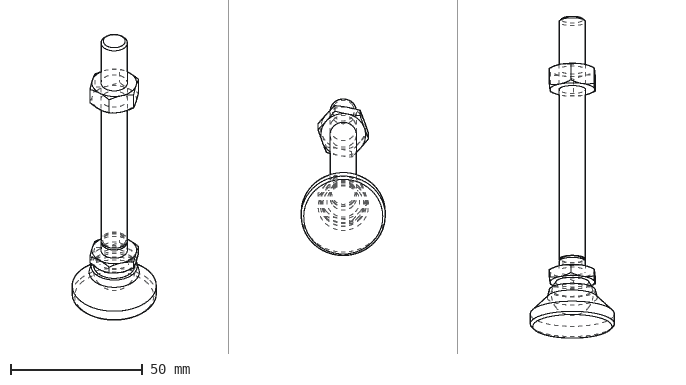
import cadquery as cq
import math

TOTAL_HEIGHT = 122.0
ROD_RADIUS = 5.0
ROD_TIP_CHAMFER = 0.9
HEX_ACROSS_FLATS = 17.0
HEX_CHAMFER_ANGLE = 30.0

FOOT_RADIUS = 16.0
FOOT_BOTTOM_CHAMFER = 1.0
FOOT_RIM_TOP = 5.0
COLLAR_BOTTOM = 11.5
COLLAR_BOTTOM_RADIUS = 9.5
COLLAR_TOP = 14.4
COLLAR_TOP_RADIUS = 8.8

BALL_RADIUS = 7.9
BALL_CENTER = 12.7
STUD_HEX_BOTTOM = 17.6
STUD_HEX_TOP = 22.0
GROOVE_BOTTOM = 25.9
GROOVE_HEIGHT = 0.9
GROOVE_DEPTH = 0.6
GROOVE_TOP = GROOVE_BOTTOM + GROOVE_HEIGHT

NUT_BOTTOM = 94.2
NUT_HEIGHT = 7.8


def turned(points):
    """Revolve a closed (radius, height) outline about the Z axis."""
    return cq.Workplane("XZ").polyline(points).close().revolve(360, (0, 0), (0, 1))


def ball():
    return cq.Workplane("XY").sphere(BALL_RADIUS).translate((0, 0, BALL_CENTER))


def hexagon(bottom, height):
    """Hex prism with corners on the Y axis and conically chamfered corners at both ends."""
    flat_radius = HEX_ACROSS_FLATS / 2
    corner_radius = flat_radius / math.cos(math.pi / 6)
    drop = (corner_radius - flat_radius) * math.tan(math.radians(HEX_CHAMFER_ANGLE))
    top = bottom + height
    prism = (
        cq.Workplane("XY")
        .workplane(offset=bottom)
        .polygon(6, 2 * corner_radius)
        .extrude(height)
        .rotate((0, 0, 0), (0, 0, 1), 30)
    )
    envelope = turned([
        (0, bottom),
        (flat_radius, bottom),
        (corner_radius, bottom + drop),
        (corner_radius, top - drop),
        (flat_radius, top),
        (0, top),
    ])
    return prism.intersect(envelope)


def make_foot():
    """Conical foot with a collar around the ball socket."""
    blank = turned([
        (0, 0),
        (FOOT_RADIUS - FOOT_BOTTOM_CHAMFER, 0),
        (FOOT_RADIUS, FOOT_BOTTOM_CHAMFER),
        (FOOT_RADIUS, FOOT_RIM_TOP),
        (COLLAR_BOTTOM_RADIUS, COLLAR_BOTTOM),
        (COLLAR_TOP_RADIUS, COLLAR_TOP),
        (0, COLLAR_TOP),
    ])
    return blank.cut(ball())


def make_stud():
    """Rod with a relief groove, a wrench hex and a ball at its lower end."""
    rod = turned([
        (0, BALL_CENTER),
        (ROD_RADIUS, BALL_CENTER),
        (ROD_RADIUS, GROOVE_BOTTOM),
        (ROD_RADIUS - GROOVE_DEPTH, GROOVE_TOP),
        (ROD_RADIUS, GROOVE_TOP),
        (ROD_RADIUS, TOTAL_HEIGHT - ROD_TIP_CHAMFER),
        (ROD_RADIUS - ROD_TIP_CHAMFER, TOTAL_HEIGHT),
        (0, TOTAL_HEIGHT),
    ])
    wrench_hex = hexagon(STUD_HEX_BOTTOM, STUD_HEX_TOP - STUD_HEX_BOTTOM)
    return ball().union(wrench_hex).union(rod)


def make_lock_nut():
    """Hex nut with a plain bore that fits the rod."""
    bore = cq.Workplane("XY").workplane(offset=NUT_BOTTOM).circle(ROD_RADIUS).extrude(NUT_HEIGHT)
    return hexagon(NUT_BOTTOM, NUT_HEIGHT).cut(bore)


foot = make_foot()
stud = make_stud()
lock_nut = make_lock_nut()

result = cq.Compound.makeCompound([foot.val(), stud.val(), lock_nut.val()])